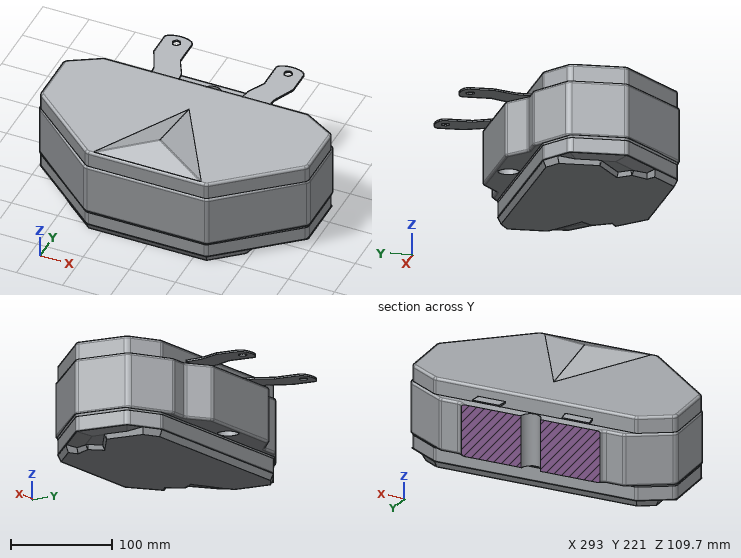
import cadquery as cq
import math


half_width = 146.5
front_half = 66.2
side_front_y = 69.0
side_back_y = 129.0
shoulder_y = 155.2
shoulder_outer = 101.0
shoulder_inner = 79.3
tail_half = 55.5
tail_y = 173.5
belt_bottom = 23.7
belt_top = 80.2
belt_edge_radius = 2.3

side_step = 1.2
front_step = 1.8
body_half = half_width - side_step
body_front_half = front_half - side_step
body_side_back_y = 127.4
body_back_half = 110.7
body_back_y = 147.3
body_bottom = 7.0
body_top = 97.8
body_top_radius = 2.5
body_bottom_radius = 1.0
corner_radius = 6.7

skirt_top = belt_bottom + 1.0
skirt_height = 2.5
skirt_overhang = 1.02

tail_hole_radius = 10.5
tail_hole_y = 159.0

apex_y = 35.0
apex_z = 109.8
pyramid_half = 58.5
pyramid_front_y = 4.0
pyramid_back_y = 105.5
ridge_radius = 2.3

foot_draft = 25.0
floor_depth = 2.3
floor_inset = 17.5
pad_half = 126.5
pad_front_y = 93.0
relief_depth_x = 85.5
relief_bump_x = 96.5
relief_back_y = 67.3
relief_bump_y = 54.5
relief_front_y = 37.0
lip_x = 98.5
lip_y = 29.3
clearance = 14.5

tab_outer = 75.5
tab_inner = 45.5
tab_middle = (tab_outer + tab_inner) / 2
tab_crown_y = 214.0
tab_tip_y = 221.0
tab_bend_outer_y = 188.8
tab_bend_inner_y = 186.0
tab_knee_outer = (65.0, 165.7)
tab_knee_inner = (36.0, 168.0)
tab_root_outer = (62.0, 140.5)
tab_root_inner = (31.5, 140.5)
tab_bottom = 85.2
tab_thickness = 1.8
tab_hole_radius = 4.0
tab_hole_y = 210.2


def symmetric_outline(half_points, z):
    """Closed outline from the points of its +X half, listed front to back."""
    mirrored = [(-x, y) for x, y in reversed(half_points)]
    return cq.Workplane("XY").workplane(offset=z).polyline(half_points + mirrored).close()


body_points = [
    (body_front_half, front_step),
    (body_half, side_front_y),
    (body_half, body_side_back_y),
    (body_back_half, body_back_y),
]


def make_belt():
    points = [
        (front_half, 0),
        (half_width, side_front_y),
        (half_width, side_back_y),
        (shoulder_outer, shoulder_y),
        (shoulder_inner, shoulder_y),
        (tail_half, tail_y),
    ]
    belt = symmetric_outline(points, belt_bottom).extrude(belt_top - belt_bottom)
    belt = belt.edges("|Z").fillet(corner_radius)
    belt = belt.faces("<Z or >Z").edges().fillet(belt_edge_radius)
    hole = (
        cq.Workplane("XY")
        .workplane(offset=belt_bottom)
        .center(0, tail_hole_y)
        .circle(tail_hole_radius)
        .extrude(belt_top - belt_bottom)
    )
    return belt.cut(hole)


def make_body():
    body = symmetric_outline(body_points, body_bottom).extrude(body_top - body_bottom)
    body = body.edges("|Z").fillet(corner_radius)
    body = body.faces(">Z").edges().fillet(body_top_radius)
    return body.faces("<Z").edges().fillet(body_bottom_radius)


def make_skirt():
    outline = symmetric_outline(body_points, skirt_top).offset2D(skirt_overhang, "intersection")
    flare = math.degrees(math.atan2(skirt_overhang, skirt_height))
    skirt = outline.extrude(-skirt_height, taper=flare)
    return skirt.edges("not #Z").fillet(corner_radius)


def make_pyramid():
    left = cq.Vector(-pyramid_half, pyramid_front_y, body_top)
    right = cq.Vector(pyramid_half, pyramid_front_y, body_top)
    back = cq.Vector(0, pyramid_back_y, body_top)
    apex = cq.Vector(0, apex_y, apex_z)
    triangles = [(left, right, apex), (right, back, apex), (back, left, apex), (left, back, right)]
    faces = [cq.Face.makeFromWires(cq.Wire.makePolygon(t, close=True)) for t in triangles]
    pyramid = cq.Workplane(cq.Solid.makeSolid(cq.Shell.makeShell(faces)))
    front_ridges = cq.selectors.BoxSelector(
        (-pyramid_half, pyramid_front_y, body_top + ridge_radius),
        (pyramid_half, apex_y - ridge_radius, apex_z),
    )
    return pyramid.edges(front_ridges).fillet(ridge_radius)


def make_relief(side):
    """Space cleared from one side of the foot; side is +1 or -1 along X."""
    outside = half_width + clearance
    outside_back = body_back_y + clearance
    points = [
        (outside, outside_back),
        (pad_half, outside_back),
        (pad_half, pad_front_y),
        (relief_depth_x, relief_back_y),
        (relief_bump_x, relief_bump_y),
        (relief_depth_x, relief_front_y),
        (lip_x, lip_y),
        (lip_x, -clearance),
        (outside, -clearance),
    ]
    points = [(side * x, y) for x, y in points]
    return cq.Workplane("XY").polyline(points).close().extrude(body_bottom, taper=foot_draft)


def make_foot():
    plate = symmetric_outline(body_points, body_bottom).extrude(-body_bottom, taper=foot_draft)
    for side in (1, -1):
        plate = plate.cut(make_relief(side))
    floor_draft = math.degrees(math.atan2(floor_inset, floor_depth))
    floor = symmetric_outline(body_points, body_bottom).extrude(-floor_depth, taper=floor_draft)
    return plate.union(floor)


def make_tab(side):
    """One cranked strap with a domed end; side is +1 or -1 along X."""
    tab = (
        cq.Workplane("XY")
        .workplane(offset=tab_bottom)
        .moveTo(tab_outer, tab_crown_y)
        .ellipseArc((tab_outer - tab_inner) / 2, tab_tip_y - tab_crown_y, 0, 180)
        .lineTo(tab_inner, tab_bend_inner_y)
        .lineTo(*tab_knee_inner)
        .lineTo(*tab_root_inner)
        .lineTo(*tab_root_outer)
        .lineTo(*tab_knee_outer)
        .lineTo(tab_outer, tab_bend_outer_y)
        .close()
        .extrude(tab_thickness)
    )
    hole = (
        cq.Workplane("XY")
        .workplane(offset=tab_bottom)
        .center(tab_middle, tab_hole_y)
        .circle(tab_hole_radius)
        .extrude(tab_thickness)
    )
    tab = tab.cut(hole)
    return tab if side > 0 else tab.mirror("YZ")


result = make_body().union(make_belt()).union(make_skirt()).union(make_pyramid()).union(make_foot())
for side in (1, -1):
    result = result.union(make_tab(side))